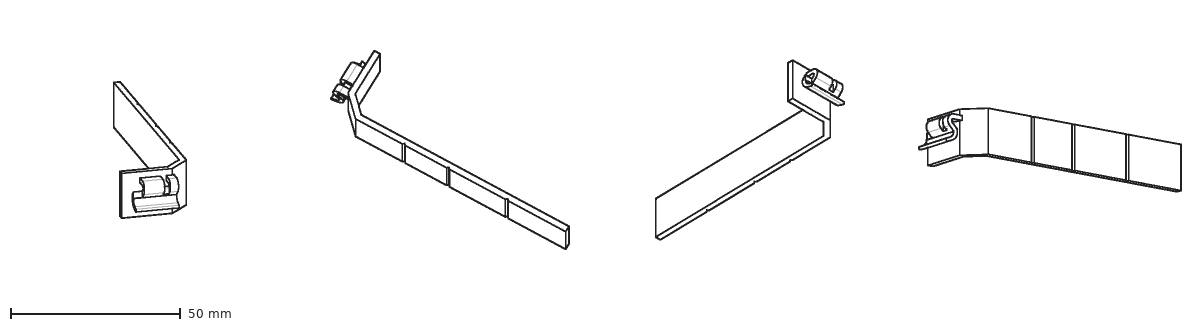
import cadquery as cq
import math

overall_length = 83

total_depth = 21.5
strip_height = 14.0
strip_thickness = 2.0
leg_outer_x = 77.5
bevel_angle = 45
bevel_run = 6.05

groove_positions = [20.0, 40.0, 55.0]
groove_depth = 0.5

clip_thickness = 1.5
arm_top_z = 12.0
arm_root_x = -strip_thickness / 2
bend_outer_radius = 2.15
bend_x = 2.65
slope_angle = 45
bend_mid_angle = (90 - slope_angle) / 2

hook_outer_radius = 2.9
hook_outer_left = 1.25
hook_inner_radius = 2.2
hook_inner_left = 2.6
tail_thickness = 1.0
tail_angle = 20
tip_reach = overall_length - leg_outer_x
tip_z = 3.9

hook_mid_angle = 215

clip_start = 5.5
clip_end = 18.7
slot_start = 8.0
slot_end = 9.7
tongue_end = 15.9
slot_wall_x = 3.3
side_wall_x = 2.5
window_floor_z = 6.8


def make_strip():
    miter = strip_thickness * math.tan(math.radians(bevel_angle / 2))
    inner_x = leg_outer_x - strip_thickness
    inner_y = total_depth - strip_thickness
    outline = [
        (0, total_depth),
        (leg_outer_x - bevel_run, total_depth),
        (leg_outer_x, total_depth - bevel_run),
        (leg_outer_x, 0),
        (inner_x, 0),
        (inner_x, total_depth - bevel_run - miter),
        (leg_outer_x - bevel_run - miter, inner_y),
        (0, inner_y),
    ]
    return cq.Workplane("XY").polyline(outline).close().extrude(strip_height)


def make_groove(x):
    outline = [
        (x - groove_depth, total_depth),
        (x + groove_depth, total_depth),
        (x, total_depth - groove_depth),
    ]
    return cq.Workplane("XY").polyline(outline).close().extrude(strip_height)


def on_circle(center, radius, degrees):
    angle = math.radians(degrees)
    return (center[0] + radius * math.cos(angle), center[1] + radius * math.sin(angle))


def hook_center(left_x, radius, offset):
    """Center of the circle with its left edge at left_x, lying offset above the middle line of the tail."""
    tail = math.radians(tail_angle)
    center_x = left_x + radius
    tip_center_x = tip_reach - tail_thickness / 2
    along = (center_x - tip_center_x - offset * math.sin(tail)) / math.cos(tail)
    return (center_x, tip_z + offset * math.cos(tail) - along * math.sin(tail))


def slope_meets_circle(slope_point, center, radius):
    """Lower of the two points where the sloping line through slope_point crosses a circle."""
    slope = math.radians(slope_angle)
    dx = slope_point[0] - center[0]
    dz = slope_point[1] - center[1]
    distance = dz * math.cos(slope) - dx * math.sin(slope)
    crossing_angle = 90 + slope_angle + math.degrees(math.acos(distance / radius))
    return on_circle(center, radius, crossing_angle)


def make_clip():
    bend_inner_radius = bend_outer_radius - clip_thickness
    bend = (bend_x, arm_top_z - bend_outer_radius)
    arm_bottom_z = arm_top_z - clip_thickness
    bend_outer_end = on_circle(bend, bend_outer_radius, -slope_angle)
    bend_inner_end = on_circle(bend, bend_inner_radius, -slope_angle)

    half_tail = tail_thickness / 2
    outer = hook_center(hook_outer_left, hook_outer_radius, hook_outer_radius - half_tail)
    inner = hook_center(hook_inner_left, hook_inner_radius, hook_inner_radius + half_tail)
    tip = (tip_reach - half_tail, tip_z)
    tail_down = -90 - tail_angle
    tail_up = 90 - tail_angle
    inner_start = slope_meets_circle(bend_outer_end, inner, hook_inner_radius)
    inner_end = on_circle(inner, hook_inner_radius, tail_down)
    outer_end = on_circle(outer, hook_outer_radius, tail_down)
    outer_start = slope_meets_circle(bend_inner_end, outer, hook_outer_radius)
    profile = (
        cq.Workplane("XZ", origin=(leg_outer_x, total_depth - clip_start, 0))
        .moveTo(arm_root_x, arm_top_z)
        .lineTo(bend_x, arm_top_z)
        .threePointArc(on_circle(bend, bend_outer_radius, bend_mid_angle), bend_outer_end)
        .lineTo(*inner_start)
        .threePointArc(on_circle(inner, hook_inner_radius, hook_mid_angle), inner_end)
        .lineTo(*on_circle(tip, half_tail, tail_up))
        .threePointArc(on_circle(tip, half_tail, 0), on_circle(tip, half_tail, tail_down))
        .lineTo(*outer_end)
        .threePointArc(on_circle(outer, hook_outer_radius, hook_mid_angle), outer_start)
        .lineTo(*bend_inner_end)
        .threePointArc(on_circle(bend, bend_inner_radius, bend_mid_angle), (bend_x, arm_bottom_z))
        .lineTo(arm_root_x, arm_bottom_z)
        .close()
    )
    clip = profile.extrude(clip_end - clip_start)
    clip = clip.cut(make_window(slot_start, slot_end, slot_wall_x))
    return clip.cut(make_window(tongue_end, clip_end, side_wall_x))


def make_window(start, end, wall_x):
    """Cutting block that takes away the arm and bend but leaves the slope on the near side of wall_x."""
    bend_z = arm_top_z - bend_outer_radius
    outline = [
        (0, bend_z),
        (wall_x, bend_z),
        (wall_x, window_floor_z),
        (tip_reach, window_floor_z),
        (tip_reach, strip_height),
        (0, strip_height),
    ]
    plane = cq.Workplane("XZ", origin=(leg_outer_x, total_depth - start, 0))
    return plane.polyline(outline).close().extrude(end - start)


result = make_strip().union(make_clip())
for groove_x in groove_positions:
    result = result.cut(make_groove(groove_x))